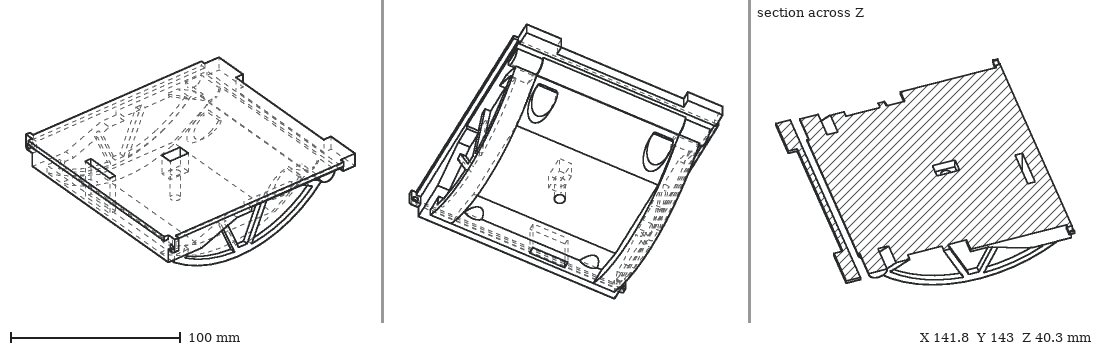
import cadquery as cq


LENGTH = 143.0
BODY_HALF_WIDTH = 64.9
FLANGE_HALF_WIDTH = 67.9
FLANGE_THICKNESS = 3.0
FLANGE_BACK = 132.3
LIP_DEPTH = 3.0
DECK_THICKNESS = 6.0
SKIRT_DEPTH = 19.5
SKIRT_BACK = 28.0
STEP_DEPTH = 8.9
STEP_FRONT = 54.6
STEP_BACK = 65.6

LUG_FRONT = 134.0
NOTCH_HALF_WIDTH = 41.9
NOTCH_DEPTH = 5.5

EAR_HALF_SPAN = 70.9
EAR_THICKNESS = 3.0
EAR_DEPTH = 10.2
EAR_CORNER_RADIUS = 1.9
EAR_HOLE_DIAMETER = 3.1
EAR_HOLE_X = 68.2
EAR_HOLE_DEPTH = 7.0

AXIS_Y = 59.0
BOLT_DIAMETER = 6.3
WINDOW_WIDTH = 8.0
WINDOW_LENGTH = 13.7
WINDOW_DEPTH = 12.9
SLOT_LEFT = -26.9
SLOT_RIGHT = -3.7
SLOT_FRONT = 12.9
SLOT_BACK = 17.2

TOTAL_HEIGHT = 40.3
ROCKER_RADIUS = 83.5
ROCKER_OUTER_X = 60.8
ROCKER_INNER_X = 47.0
ROCKER_FRONT = 10.6
ROCKER_TIP_Y = 121.1
ROCKER_TIP_DEPTH = 12.6
ROCKER_BACK = 108.8
RIM_WIDTH = 4.3
POCKET_DEPTH = 3.6
AXIS_Z = ROCKER_RADIUS - TOTAL_HEIGHT

SPOKE_MID_Y = 62.2
SPOKE_FOOT_DEPTH = 34.0
SPOKE_SLOPE = 0.43
SPOKE_FOOT_INNER = 3.1
SPOKE_FOOT_OUTER = 7.2

POCKET_REAR_Y = 114.1
POCKET_REAR_DEPTH = 13.6
POCKET_REAR_TOP_Y = 100.1
POCKET_FRONT_Y = 19.3
POCKET_FRONT_DEPTH = 25.6
POCKET_FRONT_TOP_Y = 21.3

CORE_FRONT_DEPTH = 24.7
CORE_DEPTH = 30.6
CORE_SLOPE_FRONT = 21.5
CORE_KEEL_FRONT = 39.2
CORE_KEEL_BACK = 94.4
CORE_BACK = 121.4
CORE_BACK_DEPTH = 13.9
PIN_X = 38.2
PIN_RADIUS = 7.2
PIN_AXIS_DEPTH = 20.6
PIN_FRONT = 21.5
PIN_BACK = 118.3
PIN_BACK_DEPTH = 17.9
PIN_TOE = 104.4

BEAD_Y = 122.8
BEAD_AXIS_DEPTH = 6.5
BEAD_END_RADIUS = 5.9
BEAD_RADIUS = 7.0
BEAD_HALF_LENGTH = 63.8


def block(x0, x1, y0, y1, z0, z1):
    return cq.Workplane("XY").box(x1 - x0, y1 - y0, z1 - z0, centered=False).translate((x0, y0, z0))


def slab(outline, x0, x1):
    """Extrude a closed (Y, Z) outline along X."""
    return outline.extrude(x1 - x0).translate((x0, 0, 0))


def round_bar(radius, y, z, half_width):
    return slab(cq.Workplane("YZ").center(y, z).circle(radius), -half_width, half_width)


def polygon(points):
    return cq.Workplane("YZ").polyline(points).close()


def make_body():
    profile = [
        (LIP_DEPTH, 0),
        (LENGTH, 0),
        (LENGTH, -STEP_DEPTH),
        (LUG_FRONT, -STEP_DEPTH),
        (LUG_FRONT, -DECK_THICKNESS),
        (STEP_BACK, -DECK_THICKNESS),
        (STEP_BACK, -STEP_DEPTH),
        (STEP_FRONT, -STEP_DEPTH),
        (SKIRT_BACK, -SKIRT_DEPTH),
        (LIP_DEPTH, -SKIRT_DEPTH),
    ]
    body = slab(polygon(profile), -BODY_HALF_WIDTH, BODY_HALF_WIDTH)
    lip = block(-BODY_HALF_WIDTH, BODY_HALF_WIDTH, 0, LIP_DEPTH, -FLANGE_THICKNESS, 0)
    flange = block(-FLANGE_HALF_WIDTH, FLANGE_HALF_WIDTH, LIP_DEPTH, FLANGE_BACK, -FLANGE_THICKNESS, 0)
    notch = block(-NOTCH_HALF_WIDTH, NOTCH_HALF_WIDTH, LENGTH - NOTCH_DEPTH, LENGTH, -STEP_DEPTH, 0)
    return body.union(lip).union(flange).cut(notch)


def make_ears():
    bar = block(-EAR_HALF_SPAN, EAR_HALF_SPAN, LIP_DEPTH, LIP_DEPTH + EAR_THICKNESS, -EAR_DEPTH, 0)
    return bar.edges("|Y and <Z").fillet(EAR_CORNER_RADIUS)


def make_ear_holes():
    centres = [(-EAR_HOLE_X, -EAR_HOLE_DEPTH), (EAR_HOLE_X, -EAR_HOLE_DEPTH)]
    return cq.Workplane("XZ").pushPoints(centres).circle(EAR_HOLE_DIAMETER / 2).extrude(-LENGTH)


def rocker_outline():
    return polygon([
        (ROCKER_FRONT, 0),
        (ROCKER_BACK, 0),
        (ROCKER_BACK, -DECK_THICKNESS),
        (ROCKER_TIP_Y, -ROCKER_TIP_DEPTH),
        (ROCKER_TIP_Y, -TOTAL_HEIGHT),
        (ROCKER_FRONT, -TOTAL_HEIGHT),
    ])


def spoke_edge(side, foot_offset, depth):
    """Point on a spoke edge at the given depth; side is +1 for the rear spoke."""
    lean = SPOKE_SLOPE * (SPOKE_FOOT_DEPTH - depth)
    return (SPOKE_MID_Y + side * (foot_offset + lean), -depth)


def pocket_solid():
    """The three openings between rim and spokes, across the full width."""
    middle = [
        spoke_edge(1, SPOKE_FOOT_INNER, DECK_THICKNESS),
        spoke_edge(1, SPOKE_FOOT_INNER, SPOKE_FOOT_DEPTH),
        spoke_edge(-1, SPOKE_FOOT_INNER, SPOKE_FOOT_DEPTH),
        spoke_edge(-1, SPOKE_FOOT_INNER, DECK_THICKNESS),
    ]
    rear = [
        spoke_edge(1, SPOKE_FOOT_OUTER, DECK_THICKNESS),
        spoke_edge(1, SPOKE_FOOT_OUTER, TOTAL_HEIGHT),
        (POCKET_REAR_Y, -TOTAL_HEIGHT),
        (POCKET_REAR_Y, -POCKET_REAR_DEPTH),
        (POCKET_REAR_TOP_Y, -DECK_THICKNESS),
    ]
    front = [
        spoke_edge(-1, SPOKE_FOOT_OUTER, DECK_THICKNESS),
        spoke_edge(-1, SPOKE_FOOT_OUTER, TOTAL_HEIGHT),
        (POCKET_FRONT_Y, -TOTAL_HEIGHT),
        (POCKET_FRONT_Y, -POCKET_FRONT_DEPTH),
        (POCKET_FRONT_TOP_Y, -SKIRT_DEPTH),
        (POCKET_FRONT_TOP_Y, -DECK_THICKNESS),
    ]
    pockets = slab(polygon(middle), -ROCKER_OUTER_X, ROCKER_OUTER_X)
    for outline in (rear, front):
        pockets = pockets.union(slab(polygon(outline), -ROCKER_OUTER_X, ROCKER_OUTER_X))
    return pockets.intersect(round_bar(ROCKER_RADIUS - RIM_WIDTH, AXIS_Y, AXIS_Z, ROCKER_OUTER_X))


def make_rockers():
    full = slab(rocker_outline(), -ROCKER_OUTER_X, ROCKER_OUTER_X)
    full = full.intersect(round_bar(ROCKER_RADIUS, AXIS_Y, AXIS_Z, ROCKER_OUTER_X))
    gap = block(-ROCKER_INNER_X, ROCKER_INNER_X, 0, LENGTH, -TOTAL_HEIGHT, 0)
    floor_x = ROCKER_OUTER_X - POCKET_DEPTH
    web = block(-floor_x, floor_x, 0, LENGTH, -TOTAL_HEIGHT, 0)
    return full.cut(gap).cut(pocket_solid().cut(web))


def make_core():
    profile = [
        (ROCKER_FRONT, 0),
        (ROCKER_FRONT, -CORE_FRONT_DEPTH),
        (CORE_SLOPE_FRONT, -CORE_FRONT_DEPTH),
        (CORE_KEEL_FRONT, -CORE_DEPTH),
        (CORE_KEEL_BACK, -CORE_DEPTH),
        (CORE_BACK, -CORE_BACK_DEPTH),
        (CORE_BACK, 0),
    ]
    return slab(polygon(profile), -ROCKER_INNER_X, ROCKER_INNER_X)


def make_pins():
    """Round pins along Y whose rear ends are cut off at a slant below."""
    centres = [(-PIN_X, -PIN_AXIS_DEPTH), (PIN_X, -PIN_AXIS_DEPTH)]
    pins = cq.Workplane("XZ", origin=(0, PIN_FRONT, 0)).pushPoints(centres).circle(PIN_RADIUS)
    pins = pins.extrude(PIN_FRONT - PIN_BACK)
    pin_bottom = PIN_AXIS_DEPTH + PIN_RADIUS
    slant = polygon([(PIN_BACK, -PIN_BACK_DEPTH), (PIN_BACK, -pin_bottom), (PIN_TOE, -pin_bottom)])
    return pins.cut(slab(slant, -ROCKER_INNER_X, ROCKER_INNER_X))


def make_bead():
    ends = round_bar(BEAD_END_RADIUS, BEAD_Y, -BEAD_AXIS_DEPTH, BEAD_HALF_LENGTH)
    middle = round_bar(BEAD_RADIUS, BEAD_Y, -BEAD_AXIS_DEPTH, ROCKER_INNER_X)
    below = block(-BEAD_HALF_LENGTH, BEAD_HALF_LENGTH, 0, LENGTH, -TOTAL_HEIGHT, -DECK_THICKNESS / 2)
    return ends.union(middle).intersect(below)


def make_deck_openings():
    half_width = WINDOW_WIDTH / 2
    half_length = WINDOW_LENGTH / 2
    window = block(-half_width, half_width, AXIS_Y - half_length, AXIS_Y + half_length, -WINDOW_DEPTH, 0)
    bolt = cq.Workplane("XY").center(0, AXIS_Y).circle(BOLT_DIAMETER / 2).extrude(-TOTAL_HEIGHT)
    slot = block(SLOT_LEFT, SLOT_RIGHT, SLOT_FRONT, SLOT_BACK, -TOTAL_HEIGHT, 0)
    return window.union(bolt).union(slot)


result = make_body()
for part in (make_ears(), make_rockers(), make_core(), make_pins(), make_bead()):
    result = result.union(part)
result = result.cut(make_ear_holes()).cut(make_deck_openings())